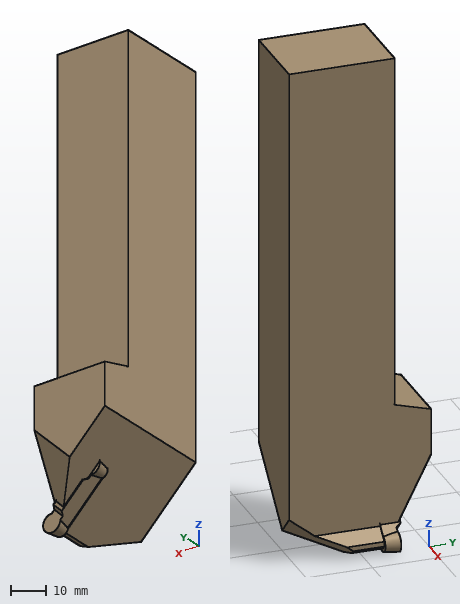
import cadquery as cq
import math

LENGTH = 152.4
WIDTH = 25.0
SHANK_DEPTH = 31.9
HEAD_DEPTH = 42.8
LEDGE_INNER_Z = 44.7
LEDGE_OUTER_Z = 41.6
MITRE_Z = 27.5

NOSE_RADIUS = 3.0
NOSE_PITCH = 19.8
NECK_WIDTH = 4.3
INSERT_BOTTOM = 27.5
INSERT_TOP = 32.0
RELIEF_ANGLE = 7.0
RIB_HEIGHT = 1.5
RIB_TOP_LENGTH = 10.7
RIB_BASE_LENGTH = 12.8
NOSE_X = 30.0 - NOSE_RADIUS
NOSE_Z = NOSE_RADIUS

BLADE_WIDTH = math.sqrt(2) * (NOSE_X + NOSE_Z - MITRE_Z)
BLADE_SHOULDER = 0.2
BLADE_TIP = 1.2
BLADE_LENGTH = 12.2
BLADE_FRONT_Y = 18.1

LOWER_BEVEL_START = 9.0
UPPER_BEVEL_START = 18.7
UPPER_BEVEL_END = 3.7
CLEARANCE = 45.7


def insert_plane(y):
    """Plane at height y: local x runs along the insert to the nose, local y out of the mitre."""
    return cq.Plane(origin=(NOSE_X, y, NOSE_Z), xDir=(1, 0, -1), normal=(0, 1, 0))


def bevel_plane():
    """Plane at y = 0: local x runs along the insert to the nose, local y along the part's Y."""
    return cq.Plane(origin=(NOSE_X, 0, NOSE_Z), xDir=(1, 0, -1), normal=(1, 0, 1))


def bevel_cutter(points):
    return cq.Workplane(bevel_plane()).polyline(points).close().extrude(CLEARANCE, both=True)


def make_shank():
    side = [
        (0, 0),
        (HEAD_DEPTH, 0),
        (HEAD_DEPTH, LEDGE_OUTER_Z),
        (SHANK_DEPTH, LEDGE_INNER_Z),
        (SHANK_DEPTH, LENGTH),
        (0, LENGTH),
    ]
    shank = cq.Workplane("YZ").polyline(side).close().extrude(WIDTH)
    mitre = [(0, 0), (WIDTH, 0), (WIDTH, MITRE_Z - WIDTH), (0, MITRE_Z)]
    return shank.cut(cq.Workplane("XZ").polyline(mitre).close().extrude(-HEAD_DEPTH))


def make_blade():
    half_width = BLADE_WIDTH / 2
    half_tip = half_width - (BLADE_TIP - BLADE_SHOULDER)
    outline = [
        (BLADE_TIP - BLADE_LENGTH, -half_width),
        (BLADE_SHOULDER, -half_width),
        (BLADE_TIP, -half_tip),
        (BLADE_TIP, half_tip),
        (BLADE_SHOULDER, half_width),
        (BLADE_TIP - BLADE_LENGTH, half_width),
    ]
    return cq.Workplane(insert_plane(0)).polyline(outline).close().extrude(INSERT_BOTTOM)


def make_insert():
    height = INSERT_TOP - INSERT_BOTTOM
    bottom_radius = NOSE_RADIUS - height * math.tan(math.radians(RELIEF_ANGLE))
    middle = -NOSE_PITCH / 2
    body = (
        cq.Workplane(insert_plane(INSERT_BOTTOM))
        .center(middle, 0)
        .rect(NOSE_PITCH, NECK_WIDTH)
        .extrude(height)
    )
    for along in (0, -NOSE_PITCH):
        nose = (
            cq.Workplane(insert_plane(INSERT_BOTTOM))
            .center(along, 0)
            .circle(bottom_radius)
            .workplane(offset=height)
            .circle(NOSE_RADIUS)
            .loft()
        )
        body = body.union(nose)
    rib_top = INSERT_TOP + RIB_HEIGHT
    rib = (
        cq.Workplane(bevel_plane())
        .moveTo(middle - RIB_TOP_LENGTH / 2, rib_top)
        .lineTo(middle + RIB_TOP_LENGTH / 2, rib_top)
        .lineTo(middle + RIB_BASE_LENGTH / 2, INSERT_TOP)
        .lineTo(middle - RIB_BASE_LENGTH / 2, INSERT_TOP)
        .close()
        .extrude(NECK_WIDTH / 2, both=True)
    )
    return body.union(rib)


def make_holder(insert):
    lower_bevel = bevel_cutter([
        (-LOWER_BEVEL_START, 0),
        (BLADE_TIP, BLADE_FRONT_Y),
        (CLEARANCE, BLADE_FRONT_Y),
        (CLEARANCE, 0),
    ])
    upper_bevel = bevel_cutter([
        (-UPPER_BEVEL_START, HEAD_DEPTH),
        (-UPPER_BEVEL_END, INSERT_TOP),
        (CLEARANCE, INSERT_TOP),
        (CLEARANCE, HEAD_DEPTH),
    ])
    holder = make_shank().union(make_blade())
    return holder.cut(lower_bevel).cut(upper_bevel).cut(insert)


insert = make_insert()
holder = make_holder(insert)

result = cq.Compound.makeCompound([holder.val(), insert.val()])